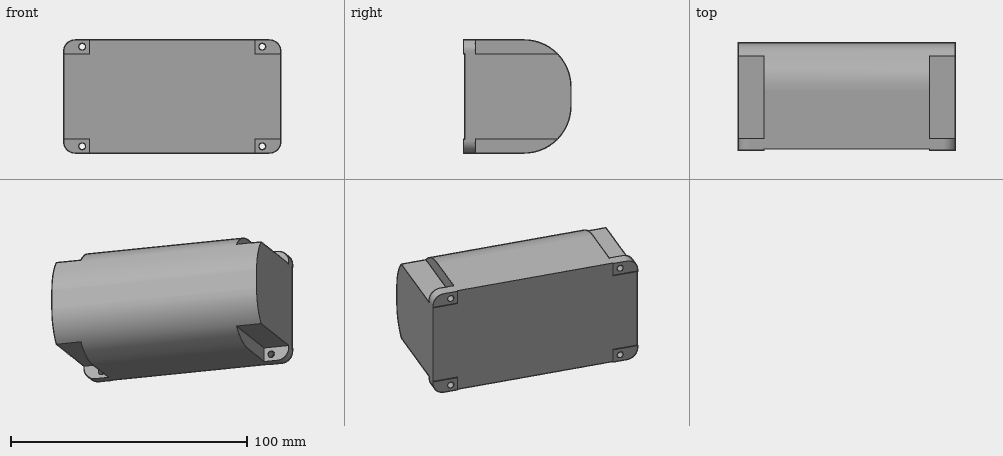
import cadquery as cq

length = 92.0
depth = 45.5
height = 48.0

back_radius = 20.0
front_recess = 0.5

notch_length = 11.0
notch_height = 6.0
lug_thickness = 5.1
lug_radius = 5.0
hole_diameter = 2.8
hole_from_end = 7.9
hole_from_edge = 2.9

front_y = -depth / 2
body_depth = depth - front_recess


def make_body():
    """Solid block with rounded long edges at the back."""
    block = cq.Workplane("XY").box(length, body_depth, height)
    block = block.translate((0, front_recess / 2, 0))
    return block.edges("|X and >Y").fillet(back_radius)


def corner_block(side_x, side_z, block_depth):
    """Block filling one corner notch, starting at the front plane of the lugs."""
    return cq.Workplane("XY").box(notch_length, block_depth, notch_height).translate((
        side_x * (length - notch_length) / 2,
        front_y + block_depth / 2,
        side_z * (height - notch_height) / 2,
    ))


def make_lug(side_x, side_z):
    """Mounting lug with its outer corner rounded."""
    outer_x = ">X" if side_x > 0 else "<X"
    outer_z = ">Z" if side_z > 0 else "<Z"
    lug = corner_block(side_x, side_z, lug_thickness)
    return lug.edges("|Y").edges(outer_x).edges(outer_z).fillet(lug_radius)


def make_hole(side_x, side_z):
    """Screw hole through the thickness of one lug."""
    hole = cq.Workplane("XZ").circle(hole_diameter / 2).extrude(-lug_thickness)
    return hole.translate((
        side_x * (length / 2 - hole_from_end),
        front_y,
        side_z * (height / 2 - hole_from_edge),
    ))


result = make_body()
for side_x in (-1, 1):
    for side_z in (-1, 1):
        result = result.cut(corner_block(side_x, side_z, depth))
        result = result.union(make_lug(side_x, side_z))
        result = result.cut(make_hole(side_x, side_z))